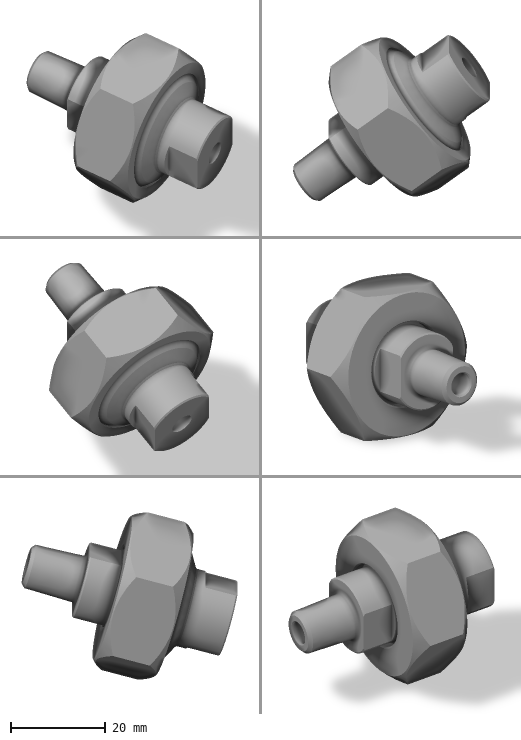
import cadquery as cq
import math

OVERALL_LENGTH = 44.5
BORE_DIAMETER = 5.0

NUT_START_X = 18.85
NUT_LENGTH = 13.57
NUT_ACROSS_FLATS = 32.0
NUT_FACE_RADIUS = 15.75
NUT_LIP_THICKNESS = 2.22
NUT_MOUTH_DIAMETER = 18.5
NUT_MOUTH_CHAMFER = 0.3
NUT_CAVITY_DIAMETER = 26.4

BARREL_DIAMETER = 17.0
WRENCH_WIDTH = 14.05
BARREL_CHAMFER = 0.3

TIP_DIAMETER = 9.55
TIP_CHAMFER = 0.75
TAPER_RATIO = 1 / 16
SHOULDER_X = 11.93
SHOULDER_FILLET = 0.8
TAIL_FLAT_END_X = 18.95
FLANGE_FILLET = 0.9
FLANGE_THICKNESS = 2.65
BORE_CHAMFER = 0.25

COLLAR_BREAK_X = 33.3
COLLAR_BREAK_DIAMETER = 23.3
COLLAR_NECK_X = 34.9
COLLAR_NECK_DIAMETER = 17.6
COLLAR_END_X = 35.3
END_FLAT_START_X = 37.42
END_FLAT_RUNOUT = 0.3

NUT_END_X = NUT_START_X + NUT_LENGTH
NUT_CORNER_DIAMETER = NUT_ACROSS_FLATS / math.cos(math.pi / 6)
BORE_RADIUS = BORE_DIAMETER / 2
BARREL_RADIUS = BARREL_DIAMETER / 2
CAVITY_RADIUS = NUT_CAVITY_DIAMETER / 2
FLANGE_X = NUT_START_X + NUT_LIP_THICKNESS
JOINT_X = FLANGE_X + FLANGE_THICKNESS


def revolve_about_x(profile):
    """Revolve a closed (x, radius) profile about the X axis."""
    return profile.close().revolve(360, (0, 0, 0), (1, 0, 0))


def side_slab(side, points):
    """Cutter from (x, distance from axis) points, on the +Y or -Y side (side = 1 or -1)."""
    outline = [(x, side * distance) for x, distance in points]
    return cq.Workplane("XY").polyline(outline).close().extrude(BARREL_DIAMETER, both=True)


def make_nut():
    """Hexagon with both ends chamfered at 45 degrees, a lip at -X and an open cavity at +X."""
    hexagon = (
        cq.Workplane("YZ", origin=(NUT_START_X, 0, 0))
        .polygon(6, NUT_CORNER_DIAMETER)
        .extrude(NUT_LENGTH)
    )
    corner_radius = NUT_CORNER_DIAMETER / 2
    corner_chamfer = corner_radius - NUT_FACE_RADIUS
    chamfer_envelope = revolve_about_x(
        cq.Workplane("XY")
        .moveTo(NUT_START_X, 0)
        .lineTo(NUT_START_X, NUT_FACE_RADIUS)
        .lineTo(NUT_START_X + corner_chamfer, corner_radius)
        .lineTo(NUT_END_X - corner_chamfer, corner_radius)
        .lineTo(NUT_END_X, NUT_FACE_RADIUS)
        .lineTo(NUT_END_X, 0)
    )
    mouth_radius = NUT_MOUTH_DIAMETER / 2
    opening = revolve_about_x(
        cq.Workplane("XY")
        .moveTo(NUT_START_X, 0)
        .lineTo(NUT_START_X, mouth_radius + NUT_MOUTH_CHAMFER)
        .lineTo(NUT_START_X + NUT_MOUTH_CHAMFER, mouth_radius)
        .lineTo(FLANGE_X, mouth_radius)
        .lineTo(FLANGE_X, CAVITY_RADIUS)
        .lineTo(NUT_END_X, CAVITY_RADIUS)
        .lineTo(NUT_END_X, 0)
    )
    return hexagon.intersect(chamfer_envelope).cut(opening)


def make_tailpiece():
    """Tapered male end, wrench barrel, and the flange held behind the nut lip."""
    tip_radius = TIP_DIAMETER / 2
    taper_end_x = SHOULDER_X - SHOULDER_FILLET
    taper_end_radius = tip_radius + (taper_end_x - TIP_CHAMFER) * TAPER_RATIO / 2
    fillet_center_radius = taper_end_radius + SHOULDER_FILLET
    arc_offset = math.sqrt(0.5)
    flange_fillet_x = FLANGE_X - FLANGE_FILLET
    flange_fillet_radius = BARREL_RADIUS + FLANGE_FILLET
    body = revolve_about_x(
        cq.Workplane("XY")
        .moveTo(0, BORE_RADIUS + BORE_CHAMFER)
        .lineTo(0, tip_radius - TIP_CHAMFER)
        .lineTo(TIP_CHAMFER, tip_radius)
        .lineTo(taper_end_x, taper_end_radius)
        .threePointArc(
            (
                taper_end_x + SHOULDER_FILLET * arc_offset,
                fillet_center_radius - SHOULDER_FILLET * arc_offset,
            ),
            (SHOULDER_X, fillet_center_radius),
        )
        .lineTo(SHOULDER_X, BARREL_RADIUS - BARREL_CHAMFER)
        .lineTo(SHOULDER_X + BARREL_CHAMFER, BARREL_RADIUS)
        .lineTo(flange_fillet_x, BARREL_RADIUS)
        .threePointArc(
            (
                flange_fillet_x + FLANGE_FILLET * arc_offset,
                flange_fillet_radius - FLANGE_FILLET * arc_offset,
            ),
            (FLANGE_X, flange_fillet_radius),
        )
        .lineTo(FLANGE_X, CAVITY_RADIUS)
        .lineTo(JOINT_X, CAVITY_RADIUS)
        .lineTo(JOINT_X, BORE_RADIUS)
        .lineTo(BORE_CHAMFER, BORE_RADIUS)
    )
    flat_outline = [
        (SHOULDER_X, WRENCH_WIDTH / 2),
        (TAIL_FLAT_END_X, WRENCH_WIDTH / 2),
        (TAIL_FLAT_END_X, BARREL_DIAMETER),
        (SHOULDER_X, BARREL_DIAMETER),
    ]
    for side in (1, -1):
        body = body.cut(side_slab(side, flat_outline))
    return body


def make_end_piece():
    """Collar filling the nut cavity, coned down to a barrel with wrench flats at +X."""
    break_radius = COLLAR_BREAK_DIAMETER / 2
    outer_cone_start_x = COLLAR_BREAK_X - (CAVITY_RADIUS - break_radius)
    body = revolve_about_x(
        cq.Workplane("XY")
        .moveTo(JOINT_X, BORE_RADIUS)
        .lineTo(JOINT_X, CAVITY_RADIUS)
        .lineTo(outer_cone_start_x, CAVITY_RADIUS)
        .lineTo(COLLAR_BREAK_X, break_radius)
        .lineTo(COLLAR_NECK_X, COLLAR_NECK_DIAMETER / 2)
        .lineTo(COLLAR_END_X, BARREL_RADIUS)
        .lineTo(OVERALL_LENGTH - BARREL_CHAMFER, BARREL_RADIUS)
        .lineTo(OVERALL_LENGTH, BARREL_RADIUS - BARREL_CHAMFER)
        .lineTo(OVERALL_LENGTH, BORE_RADIUS)
    )
    flat_outline = [
        (END_FLAT_START_X, WRENCH_WIDTH / 2),
        (OVERALL_LENGTH, WRENCH_WIDTH / 2),
        (OVERALL_LENGTH, BARREL_RADIUS),
        (END_FLAT_START_X - END_FLAT_RUNOUT, BARREL_RADIUS),
    ]
    for side in (1, -1):
        body = body.cut(side_slab(side, flat_outline))
    return body


nut = make_nut()
tailpiece = make_tailpiece()
end_piece = make_end_piece()

result = cq.Compound.makeCompound([nut.val(), tailpiece.val(), end_piece.val()])